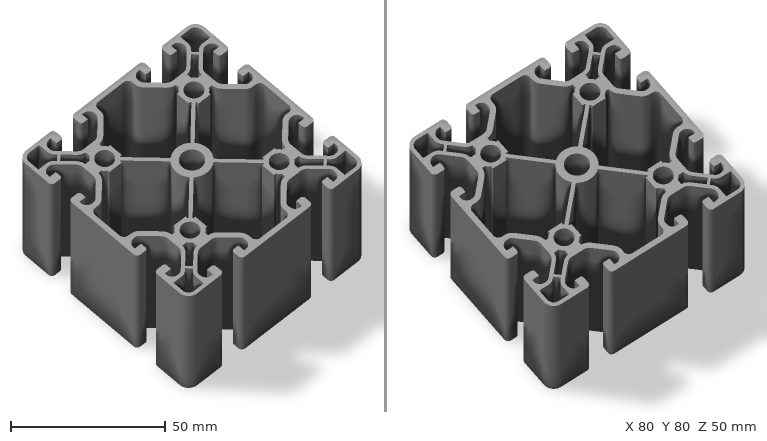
import cadquery as cq
import math

SIDE = 80.0
LENGTH = 50.0
MODULE = 40.0
CORNER_RADIUS = 4.0
CORNER_SKIN = 1.4
SKIN = 2.0

MOUTH_HALF = 4.0
MOUTH_EDGE_RADIUS = 1.5
LIP_EDGE_RADIUS = 1.0
LIP_DEPTH = 4.75
LIP_INNER = 7.0
SLOT_REACH = 10.25
SLOT_DEPTH = 12.5
SLOPE_SUM = 16.2
EAR_RADIUS = 2.5
BEND_RADIUS = 2.2
FLOOR_RADIUS = 3.1
OUTER_WALL = 1.4
INNER_WALL = 2.0
ROOT_RADIUS = 2.0

SCREW_HOLE_RADIUS = 3.4
BOSS_RADIUS = 5.0
PAD_HALF_WIDTH = 2.75
TUBE_RADIUS = 7.0
TUBE_BORE_RADIUS = 4.25
LONG_WEB = 1.4
CORNER_WEB = 1.0
CORNER_WEB_DISTANCE = 12.87

HALF_SIDE = SIDE / 2
HALF_MODULE = MODULE / 2
SLOT_FROM_CORNER = HALF_SIDE - HALF_MODULE
EAR_U = SLOT_REACH - EAR_RADIUS
EAR_V = SKIN + EAR_RADIUS
DIAGONAL = math.sqrt(0.5)
BEND_TANGENT = math.tan(math.radians(22.5))
BEND_U = SLOT_REACH - BEND_RADIUS
BEND_V = SLOPE_SUM - SLOT_REACH - BEND_RADIUS * BEND_TANGENT
FLOOR_U = SLOPE_SUM - SLOT_DEPTH - FLOOR_RADIUS * BEND_TANGENT
FLOOR_V = SLOT_DEPTH - FLOOR_RADIUS


def on_arc(centre_u, centre_v, radius, degrees):
    """Point on a circle; the angle runs from +u towards +v."""
    angle = math.radians(degrees)
    return (centre_u + radius * math.cos(angle), centre_v + radius * math.sin(angle))


def extrude(sketch):
    return sketch.close().extrude(LENGTH)


def box(u_min, u_max, v_min, v_max):
    block = cq.Workplane("XY").box(u_max - u_min, v_max - v_min, LENGTH, centered=False)
    return block.translate((u_min, v_min, 0))


def cylinder(radius, x=0.0, y=0.0):
    return cq.Workplane("XY").center(x, y).circle(radius).extrude(LENGTH)


def turn_about_axis(shape, degrees):
    return shape.rotate((0, 0, 0), (0, 0, 1), degrees)


def on_all_four_sides(shape):
    """The shape repeated every quarter turn about the profile axis."""
    combined = shape
    for degrees in (90, 180, 270):
        combined = combined.union(turn_about_axis(shape, degrees))
    return combined


def sloping_wall(sketch, offset):
    """Continue down the upright wall of the slot to its floor, offset outward."""
    bend = BEND_RADIUS + offset
    floor = FLOOR_RADIUS + offset
    return (
        sketch.lineTo(SLOT_REACH + offset, BEND_V)
        .threePointArc(on_arc(BEND_U, BEND_V, bend, 22.5), on_arc(BEND_U, BEND_V, bend, 45))
        .lineTo(*on_arc(FLOOR_U, FLOOR_V, floor, 45))
        .threePointArc(on_arc(FLOOR_U, FLOOR_V, floor, 67.5), (FLOOR_U, FLOOR_V + floor))
        .lineTo(0, SLOT_DEPTH + offset)
    )


def slot_half_body(wall, root_radius):
    """Filled half slot including its wall, with an optional fillet onto the skin."""
    wall_u = SLOT_REACH + wall
    sketch = cq.Workplane("XY").moveTo(0, MOUTH_EDGE_RADIUS)
    if root_radius > 0:
        sketch = (
            sketch.lineTo(wall_u + root_radius, MOUTH_EDGE_RADIUS)
            .lineTo(wall_u + root_radius, SKIN)
            .threePointArc(
                on_arc(wall_u + root_radius, SKIN + root_radius, root_radius, 225),
                (wall_u, SKIN + root_radius),
            )
        )
    else:
        sketch = sketch.lineTo(wall_u, MOUTH_EDGE_RADIUS)
    face_plate = box(0, wall_u, 0, SKIN)
    return extrude(sloping_wall(sketch, wall)).union(face_plate)


def slot_half_void():
    """Half of the open slot: mouth with rounded lip, ear, sloping wall and floor."""
    mouth_u = MOUTH_HALF + MOUTH_EDGE_RADIUS
    lip_u = MOUTH_HALF + LIP_EDGE_RADIUS
    lip_v = LIP_DEPTH - LIP_EDGE_RADIUS
    sketch = (
        cq.Workplane("XY")
        .lineTo(mouth_u, 0)
        .threePointArc(
            on_arc(mouth_u, MOUTH_EDGE_RADIUS, MOUTH_EDGE_RADIUS, 225),
            (MOUTH_HALF, MOUTH_EDGE_RADIUS),
        )
        .lineTo(MOUTH_HALF, lip_v)
        .threePointArc(on_arc(lip_u, lip_v, LIP_EDGE_RADIUS, 135), (lip_u, LIP_DEPTH))
        .lineTo(LIP_INNER, LIP_DEPTH)
        .lineTo(LIP_INNER, SKIN)
        .lineTo(EAR_U, SKIN)
        .threePointArc(on_arc(EAR_U, EAR_V, EAR_RADIUS, -45), (SLOT_REACH, EAR_V))
    )
    return extrude(sloping_wall(sketch, 0))


def place_slots(corner_half, chamber_half):
    """Put the slot halves on both slots of all four faces."""
    slot = chamber_half.union(corner_half.mirror("YZ"))
    left = slot.translate((-HALF_MODULE, -HALF_SIDE, 0))
    return on_all_four_sides(left.union(left.mirror("YZ")))


def outer_skin():
    """Thin rounded frame, thickened between the two slots of each face."""
    inside = SIDE - 2 * CORNER_SKIN
    outer = cq.Workplane("XY").rect(SIDE, SIDE).extrude(LENGTH)
    outer = outer.edges("|Z").fillet(CORNER_RADIUS)
    inner = cq.Workplane("XY").rect(inside, inside).extrude(LENGTH)
    inner = inner.edges("|Z").fillet(CORNER_RADIUS - CORNER_SKIN)
    skin = outer.cut(inner)
    flat = box(-HALF_MODULE, HALF_MODULE, -HALF_SIDE, SKIN - HALF_SIDE)
    return skin.union(on_all_four_sides(flat))


def quarter_core():
    """Screw boss, its pads and both diagonal webs, on the +X +Y diagonal."""
    pad_end = SLOT_FROM_CORNER - SLOT_DEPTH
    pad = box(-BOSS_RADIUS, pad_end, -PAD_HALF_WIDTH, PAD_HALF_WIDTH)
    upright_pad = box(-PAD_HALF_WIDTH, PAD_HALF_WIDTH, -BOSS_RADIUS, pad_end)
    boss = cylinder(BOSS_RADIUS).union(pad).union(upright_pad)
    core = boss.translate((HALF_MODULE, HALF_MODULE, 0))

    boss_distance = HALF_MODULE / DIAGONAL
    long_web = box(TUBE_BORE_RADIUS, boss_distance, -LONG_WEB / 2, LONG_WEB / 2)
    long_web = long_web.cut(cylinder(TUBE_BORE_RADIUS))
    web_end = HALF_SIDE / DIAGONAL - CORNER_WEB_DISTANCE
    reach = (SLOT_FROM_CORNER - SLOPE_SUM) * DIAGONAL - OUTER_WALL / 2
    corner_web = box(web_end - CORNER_WEB, web_end, -reach, reach)
    webs = turn_about_axis(long_web.union(corner_web), 45)
    return core.union(webs).cut(cylinder(SCREW_HOLE_RADIUS, HALF_MODULE, HALF_MODULE))


def profile():
    slot_bodies = place_slots(
        slot_half_body(OUTER_WALL, 0), slot_half_body(INNER_WALL, ROOT_RADIUS)
    )
    body = outer_skin().union(slot_bodies)
    body = body.cut(place_slots(slot_half_void(), slot_half_void()))
    body = body.union(cylinder(TUBE_RADIUS).cut(cylinder(TUBE_BORE_RADIUS)))
    return body.union(on_all_four_sides(quarter_core())).clean()


result = profile()